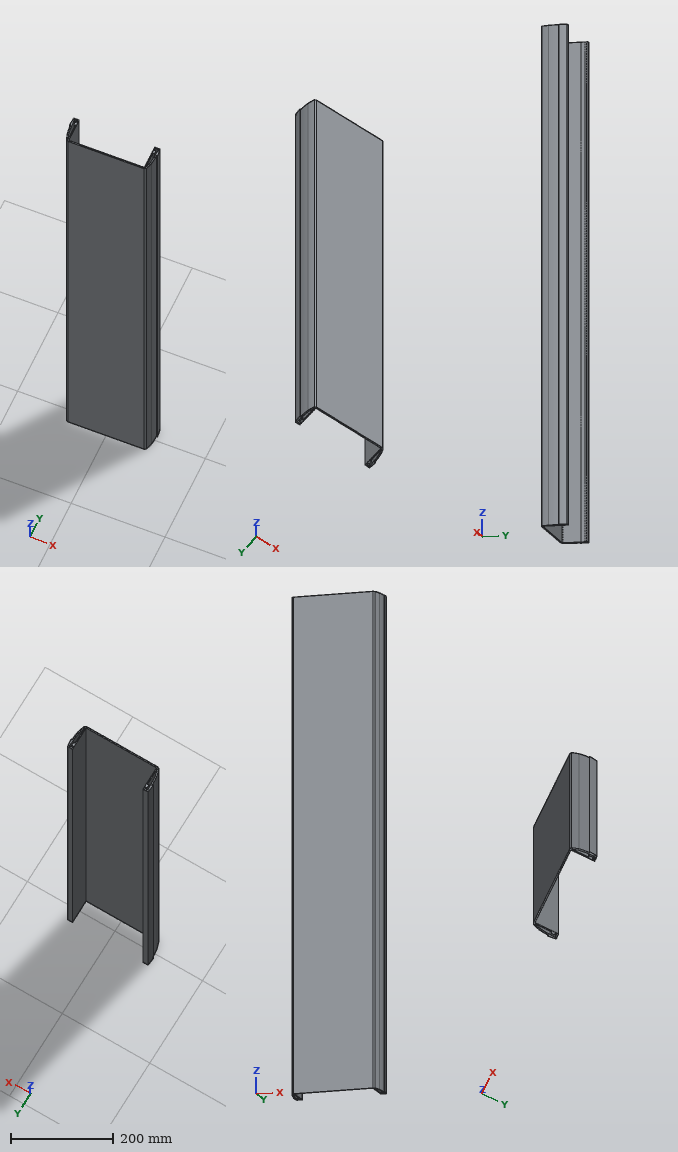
import cadquery as cq

width = 186.99
depth = 54.6
length = 1000.0

floor_thickness = 3.0
inner_half_width = 80.5
wall_thickness = 2.3
wall_face = inner_half_width + wall_thickness
floor_half_width = 81.3

flank_start = (85.0, 1.9)
flank_seam = (89.6, 16.7)
flank_end = (91.6, 38.2)
flank_radius = 120.0
skin_thickness = floor_thickness

barb_tip = (width / 2, 37.0)
lip_top = (92.0, 52.8)
lip_radius = 100.0
rim_half_width = 91.6

cavity_bottom = 4.0
cavity_top = 51.5
lip_inner_x = 89.5

rib_bottom = 40.5
rib_top = 48.5
rib_reach = 3.2


def inset(point):
    """Point on the inner face of the skin, level with a point on its outer face."""
    x, y = point
    return (x - skin_thickness, y)


def half_body():
    """Solid outline of the +X half, from the centre plane to the outer skin."""
    outline = (
        cq.Workplane("XY")
        .moveTo(0, 0)
        .lineTo(floor_half_width, 0)
        .lineTo(*flank_start)
        .radiusArc(flank_seam, -flank_radius)
        .radiusArc(flank_end, -flank_radius)
        .lineTo(*barb_tip)
        .radiusArc(lip_top, -lip_radius)
        .lineTo(rim_half_width, depth)
        .lineTo(inner_half_width, depth)
        .lineTo(inner_half_width, floor_thickness)
        .lineTo(0, floor_thickness)
        .close()
    )
    return outline.extrude(length)


def cavity():
    """Hollow of the +X side, tapering down to a point beside the floor."""
    outline = (
        cq.Workplane("XY")
        .moveTo(wall_face, cavity_bottom)
        .lineTo(*inset(flank_seam))
        .radiusArc(inset(flank_end), -flank_radius)
        .lineTo(lip_inner_x, cavity_top)
        .lineTo(wall_face, cavity_top)
        .close()
    )
    return outline.extrude(length)


def rib():
    """Rib of the +X inner wall, running the full length."""
    height = rib_top - rib_bottom
    bar = cq.Workplane("XY").box(rib_reach, height, length, centered=False)
    return bar.translate((wall_face, rib_bottom, 0))


half = half_body().cut(cavity()).union(rib())
whole = half.union(half.mirror("YZ")).clean()
result = whole.translate((0, -depth / 2, 0)).solids()